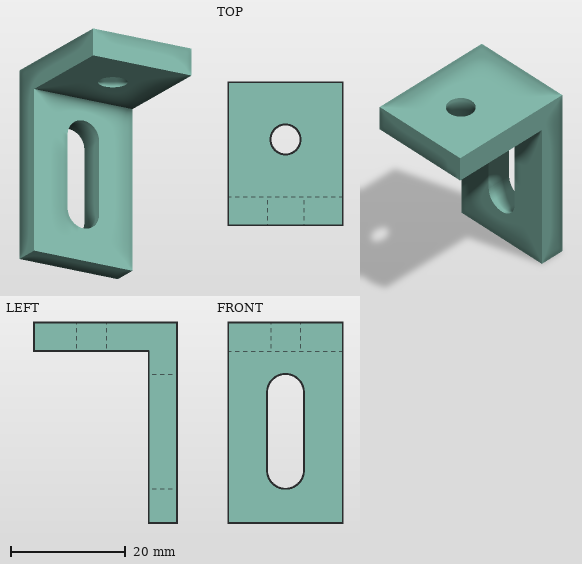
import cadquery as cq

WIDTH = 20.0
DEPTH = 25.0
HEIGHT = 35.0
THICKNESS = 5.0

SLOT_WIDTH = 6.4
SLOT_LENGTH = 20.0
SLOT_BOTTOM_MARGIN = 6.0

HOLE_DIAMETER = 5.2
HOLE_BACK_MARGIN = 10.0


def angle_body():
    """L-shaped profile: upright leg at the front (Y = 0), horizontal leg on top."""
    return (
        cq.Workplane("YZ")
        .moveTo(0, 0)
        .lineTo(THICKNESS, 0)
        .lineTo(THICKNESS, HEIGHT - THICKNESS)
        .lineTo(DEPTH, HEIGHT - THICKNESS)
        .lineTo(DEPTH, HEIGHT)
        .lineTo(0, HEIGHT)
        .close()
        .extrude(WIDTH / 2, both=True)
    )


def slot_cutter():
    """Vertical round-ended slot running through the upright leg."""
    center_z = SLOT_BOTTOM_MARGIN + SLOT_LENGTH / 2
    return (
        cq.Workplane("XZ")
        .center(0, center_z)
        .slot2D(SLOT_LENGTH, SLOT_WIDTH, 90)
        .extrude(-THICKNESS)
    )


def hole_cutter():
    """Vertical hole through the horizontal leg."""
    return (
        cq.Workplane("XY", origin=(0, DEPTH - HOLE_BACK_MARGIN, HEIGHT - THICKNESS))
        .circle(HOLE_DIAMETER / 2)
        .extrude(THICKNESS)
    )


result = angle_body().cut(slot_cutter()).cut(hole_cutter())